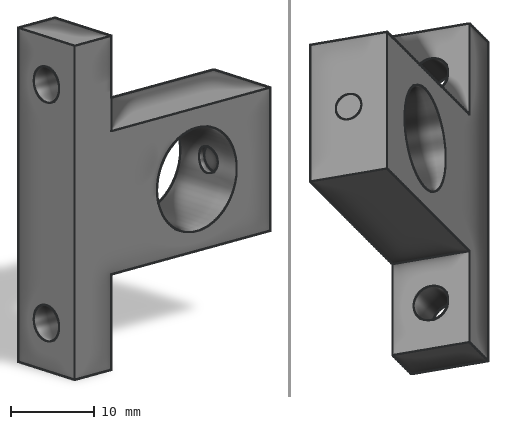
import cadquery as cq

width = 10.0
depth = 32.0
height = 42.0

base_thickness = 6.0
block_height = 18.0
mount_hole_diameter = 4.5
mount_hole_spacing = 30.0

bore_diameter = 13.0
bore_distance = 20.0

screw_diameter = 3.3
screw_recess = 0.85
bore_rear = bore_distance + bore_diameter / 2
screw_tip = bore_rear + screw_recess
screw_length = depth - screw_tip


def rod_along_y(diameter, start, length, z=0.0):
    """Cylinder centred on X = 0, running toward +Y from start."""
    axis_start = cq.Vector(0, start, z)
    return cq.Workplane(cq.Solid.makeCylinder(diameter / 2, length, axis_start, cq.Vector(0, 1, 0)))


def make_support():
    """T-shaped shaft support with its mounting face at Y = 0."""
    base = cq.Workplane().box(width, base_thickness, height, centered=(True, False, True))
    block = cq.Workplane().box(width, depth, block_height, centered=(True, False, True))
    support = base.union(block)

    bore = cq.Solid.makeCylinder(
        bore_diameter / 2, width, cq.Vector(-width / 2, bore_distance, 0), cq.Vector(1, 0, 0)
    )
    support = support.cut(cq.Workplane(bore))

    for side in (-1, 1):
        hole_z = side * mount_hole_spacing / 2
        support = support.cut(rod_along_y(mount_hole_diameter, 0, base_thickness, hole_z))

    screw_hole = rod_along_y(screw_diameter, bore_distance, depth - bore_distance)
    return support.cut(screw_hole)


def make_set_screw():
    """Plain set screw, flush with the rear face and recessed at the bore."""
    return rod_along_y(screw_diameter, screw_tip, screw_length)


support = make_support()
set_screw = make_set_screw()

result = cq.Compound.makeCompound([support.val(), set_screw.val()])